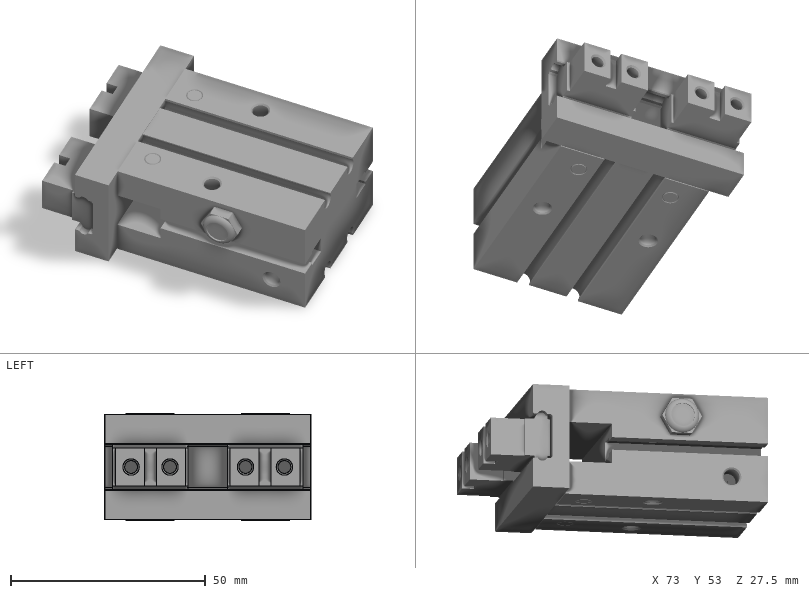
import cadquery as cq
import math


plate_front = 10.5
plate_rear = 20.0
plate_width = 53.0
plate_height = 27.0

block_rear = 73.0
block_width = 42.0
block_height = 27.5
rail_height = 26.75
window_rear = 32.2
window_height = 10.35

slot_y = 7.0
slot_neck = 3.3
slot_radius = 2.0
slot_neck_depth = 0.7

groove_neck = 3.3
groove_neck_depth = 4.4
groove_wide = 4.9
groove_depth = 10.0

mount_x = 44.0
mount_y = 15.0
tap_diameter = 4.2
tap_mouth = 5.0
pin_x = 26.3
pin_y = 13.0
pin_ring_outer = 4.4
pin_ring_inner = 3.7
port_x = 63.5
port_z = -7.5
port_depth = 6.0
port_orifice = 0.4
port_orifice_depth = 2.0

cap_x = 50.0
cap_z = 7.5
cap_across_flats = 9.0
cap_hex_height = 2.75
cap_dome_diameter = 8.9
cap_dome_round = 1.4
cap_dome_height = 1.25
cap_recess_diameter = cap_dome_diameter - 2 * cap_dome_round
cap_recess_depth = 0.4

guide_x = 12.95
guide_lip = 5.8
guide_lip_chamfer = 0.25
guide_crown = 6.6
guide_crown_width = 2.5
guide_back = 15.6
guide_corner = 0.5

jaw_height = 9.7
jaw_back = 15.3
rib_front = 11.15
rib_back = 14.6
jaw_center = 14.7
jaw_tip_width = 18.0
jaw_shoulder_x = 8.8
jaw_shoulder_inner = 5.1
jaw_shoulder_outer = 24.5
jaw_notch_width = 3.0
jaw_notch_depth = 3.1
jaw_hole_spacing = 10.0
jaw_hole_diameter = 3.3
jaw_hole_mouth = 4.2
jaw_hole_depth = 8.0


def block(x_range, y_range, z_range):
    """Box between the given limits on each axis."""
    spans = [high - low for low, high in (x_range, y_range, z_range)]
    corner = (x_range[0], y_range[0], z_range[0])
    return cq.Workplane("XY").box(*spans, centered=False).translate(corner)


def centered_block(x_range, width, height):
    """Box between two X limits, centred on Y = 0 and Z = 0."""
    return block(x_range, (-width / 2, width / 2), (-height / 2, height / 2))


def bore(start, direction, diameter, depth):
    """Cylinder that starts at a point and runs along a direction."""
    solid = cq.Solid.makeCylinder(diameter / 2, depth, cq.Vector(*start), cq.Vector(*direction))
    return cq.Workplane(obj=solid)


def countersink(start, direction, mouth, diameter):
    """45 degree cone that narrows from the mouth to the hole diameter."""
    depth = (mouth - diameter) / 2
    solid = cq.Solid.makeCone(mouth / 2, diameter / 2, depth, cq.Vector(*start), cq.Vector(*direction))
    return cq.Workplane(obj=solid)


def tapped_hole(start, direction, mouth, diameter, depth):
    """Hole with a chamfered mouth."""
    return bore(start, direction, diameter, depth).union(countersink(start, direction, mouth, diameter))


def crowned_outline(before, after):
    """Closed XZ outline: the points up to the crown, its arc, then the points after it."""
    arc_start = (guide_x - guide_crown_width / 2, guide_lip)
    arc_end = (guide_x + guide_crown_width / 2, guide_lip)
    outline = cq.Workplane("XZ").polyline([*before, arc_start])
    outline = outline.threePointArc((guide_x, guide_crown), arc_end)
    for point in after:
        outline = outline.lineTo(*point)
    return outline.close()


def along_y(outline, y_low, y_high):
    """Extrude an XZ outline between two Y limits and add its mirror image below Z = 0."""
    upper = outline.extrude(y_low - y_high).translate((0, y_low, 0))
    return upper.union(upper.mirror("XY"))


def guide_slot():
    """Slot through the plate along Y that holds the jaws."""
    before_crown = [
        (plate_front, 0),
        (plate_front, guide_lip + guide_lip_chamfer),
        (plate_front + guide_lip_chamfer, guide_lip),
    ]
    after_crown = [
        (guide_back - guide_corner, guide_lip),
        (guide_back, guide_lip - guide_corner),
        (guide_back, 0),
    ]
    outline = crowned_outline(before_crown, after_crown)
    return along_y(outline, -plate_width / 2, plate_width / 2)


def jaw_ribs(y_low, y_high):
    """Ribs above and below the jaw that run in the plate slot."""
    before_crown = [(rib_front, 0), (rib_front, jaw_height / 2)]
    after_crown = [(rib_back, guide_lip), (rib_back, 0)]
    return along_y(crowned_outline(before_crown, after_crown), y_low, y_high)


def sensor_slot(y, side):
    """Round channel and its neck, open to the top (side 1) or the bottom (side -1)."""
    channel_drop = math.sqrt(slot_radius**2 - (slot_neck / 2) ** 2)
    channel_z = block_height / 2 - slot_neck_depth - channel_drop
    length = block_rear - plate_rear
    channel = bore((plate_rear, y, side * channel_z), (1, 0, 0), 2 * slot_radius, length)
    neck_z = sorted((side * channel_z, side * block_height / 2))
    neck = block((plate_rear, block_rear), (y - slot_neck / 2, y + slot_neck / 2), neck_z)
    return channel.union(neck)


def side_groove(side):
    """Stepped groove along the side of the block at +Y (1) or -Y (-1)."""
    face = block_width / 2
    neck_y = sorted((side * face, side * (face - groove_neck_depth)))
    wide_y = sorted((side * (face - groove_neck_depth), side * (face - groove_depth)))
    x_range = (plate_rear, block_rear)
    neck = block(x_range, neck_y, (-groove_neck / 2, groove_neck / 2))
    wide = block(x_range, wide_y, (-groove_wide / 2, groove_wide / 2))
    return neck.union(wide)


def mounting_hole(y):
    """Hole through the block along Z with chamfered mouths."""
    top = block_height / 2
    hole = tapped_hole((mount_x, y, top), (0, 0, -1), tap_mouth, tap_diameter, block_height)
    return hole.union(countersink((mount_x, y, -top), (0, 0, 1), tap_mouth, tap_diameter))


def pin_ring(y, side):
    """V-shaped ring groove around the end of a flush pin."""
    middle = (pin_ring_outer + pin_ring_inner) / 4
    depth = (pin_ring_outer - pin_ring_inner) / 4
    profile = [(pin_ring_inner / 2, 0), (pin_ring_outer / 2, 0), (middle, -side * depth)]
    ring = cq.Workplane("XZ").polyline(profile).close().revolve(360, (0, 0, 0), (0, 1, 0))
    return ring.translate((pin_x, y, side * block_height / 2))


def air_port():
    """Port in the -Y side with a small orifice in its floor."""
    face_y = -block_width / 2
    port = tapped_hole((port_x, face_y, port_z), (0, 1, 0), tap_mouth, tap_diameter, port_depth)
    orifice_start = (port_x, face_y + port_depth, port_z)
    return port.union(bore(orifice_start, (0, 1, 0), port_orifice, port_orifice_depth))


def hex_cap():
    """Hexagon with a rounded, recessed end, standing on the -Y side."""
    across_corners = cap_across_flats / math.cos(math.radians(30))
    hexagon = cq.Workplane("XZ").polygon(6, across_corners).extrude(cap_hex_height)
    dome = cq.Workplane("XZ").circle(cap_dome_diameter / 2).extrude(cap_hex_height + cap_dome_height)
    dome = dome.faces("<Y").edges().fillet(cap_dome_round)
    recess_floor = cap_hex_height + cap_dome_height - cap_recess_depth
    recess = cq.Workplane("XZ", origin=(0, -recess_floor, 0)).circle(cap_recess_diameter / 2)
    cap = hexagon.union(dome).cut(recess.extrude(cap_recess_depth))
    return cap.translate((cap_x, -block_width / 2, cap_z))


def make_housing():
    """Guide plate, block and cap as one solid."""
    body = centered_block((plate_rear, block_rear), block_width, block_height)
    for side in (-1, 1):
        rail_top = sorted((side * rail_height / 2, side * block_height / 2))
        body = body.cut(block((plate_rear, block_rear), (-slot_y, slot_y), rail_top))
    body = body.cut(centered_block((plate_rear, window_rear), block_width, window_height))
    for side in (-1, 1):
        body = body.cut(side_groove(side))
        body = body.cut(mounting_hole(side * mount_y))
        for face in (-1, 1):
            body = body.cut(sensor_slot(side * slot_y, face))
            body = body.cut(pin_ring(side * pin_y, face))
    body = body.cut(air_port())
    plate = centered_block((plate_front, plate_rear), plate_width, plate_height).cut(guide_slot())
    return body.union(plate).union(hex_cap()).solids()


def make_jaw(side):
    """Jaw on the +Y (1) or -Y (-1) half; built at +Y and mirrored for -Y."""
    z_range = (-jaw_height / 2, jaw_height / 2)
    tip_y = (jaw_center - jaw_tip_width / 2, jaw_center + jaw_tip_width / 2)
    shoulder_y = (jaw_shoulder_inner, jaw_shoulder_outer)
    jaw = block((0, jaw_shoulder_x), tip_y, z_range)
    jaw = jaw.union(block((jaw_shoulder_x, jaw_back), shoulder_y, z_range))
    jaw = jaw.union(jaw_ribs(*shoulder_y))

    notch_y = (jaw_center - jaw_notch_width / 2, jaw_center + jaw_notch_width / 2)
    jaw = jaw.cut(block((0, jaw_notch_depth), notch_y, z_range))

    for offset in (-jaw_hole_spacing / 2, jaw_hole_spacing / 2):
        start = (0, jaw_center + offset, 0)
        jaw = jaw.cut(tapped_hole(start, (1, 0, 0), jaw_hole_mouth, jaw_hole_diameter, jaw_hole_depth))
    placed = jaw if side > 0 else jaw.mirror("XZ")
    return placed.solids()


housing = make_housing()
jaws = [make_jaw(side) for side in (-1, 1)]

result = cq.Compound.makeCompound([housing.val(), *[jaw.val() for jaw in jaws]])